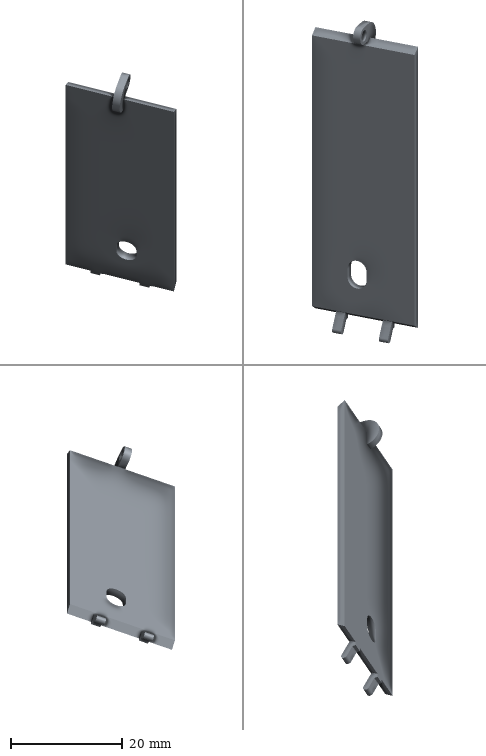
import cadquery as cq
import math

TOTAL_HEIGHT = 61.6

PLATE_WIDTH = 20.4
PLATE_THICKNESS = 1.5
PLATE_BOTTOM = 2.95
PLATE_TOP = 58.55
END_SLOPE = math.radians(35)

SLOT_WIDTH = 3.75
SLOT_LENGTH = 5.5
SLOT_X = 1.25
SLOT_Z = 11.9

HOOK_WIDTH = 1.4
HOOK_RADIUS = 3.0
HOOK_CENTER_Y = 0.6
EYE_RADIUS = 1.65
EYE_HOLE_DIAMETER = 2.1
EYE_CENTER_Y = 2.65
HOOK_NECK_BACK = 1.1

TAB_WIDTH = 1.8
TAB_SPACING = 9.3
TAB_FOOT_Z = 2.2
TAB_TIP_RADIUS = 0.6
TAB_TIP_Y = 2.3
TAB_BEND_Z = 2.8
TAB_ROOT_Y = 1.1
TAB_SLANT = math.radians(30)


def extrude_across(profile, width):
    """Extrude a YZ profile symmetrically about X = 0."""
    return profile.extrude(width / 2, both=True)


def make_plate():
    end_drop = PLATE_THICKNESS * math.tan(END_SLOPE)
    profile = cq.Workplane("YZ").polyline([
        (0, PLATE_BOTTOM),
        (0, PLATE_TOP),
        (PLATE_THICKNESS, PLATE_TOP - end_drop),
        (PLATE_THICKNESS, PLATE_BOTTOM + end_drop),
    ]).close()
    slot = (
        cq.Workplane("XZ")
        .center(SLOT_X, SLOT_Z)
        .slot2D(SLOT_LENGTH, SLOT_WIDTH, 90)
        .extrude(-PLATE_THICKNESS)
    )
    return extrude_across(profile, PLATE_WIDTH).cut(slot)


def make_hook():
    hook_center_z = TOTAL_HEIGHT - HOOK_RADIUS
    eye_center_z = TOTAL_HEIGHT - EYE_RADIUS
    arc_end_z = hook_center_z - math.sqrt(HOOK_RADIUS**2 - HOOK_CENTER_Y**2)
    neck_z = PLATE_TOP - HOOK_NECK_BACK * math.tan(END_SLOPE)
    profile = (
        cq.Workplane("YZ")
        .moveTo(0, arc_end_z)
        .threePointArc(
            (HOOK_CENTER_Y - HOOK_RADIUS, hook_center_z),
            (HOOK_CENTER_Y, TOTAL_HEIGHT),
        )
        .lineTo(EYE_CENTER_Y, TOTAL_HEIGHT)
        .threePointArc(
            (EYE_CENTER_Y + EYE_RADIUS, eye_center_z),
            (EYE_CENTER_Y, eye_center_z - EYE_RADIUS),
        )
        .lineTo(HOOK_NECK_BACK, eye_center_z - EYE_RADIUS)
        .lineTo(HOOK_NECK_BACK, neck_z)
        .lineTo(0, PLATE_TOP)
        .close()
    )
    hole = (
        cq.Workplane("YZ")
        .center(EYE_CENTER_Y, eye_center_z)
        .circle(EYE_HOLE_DIAMETER / 2)
    )
    return extrude_across(profile, HOOK_WIDTH).cut(extrude_across(hole, HOOK_WIDTH))


def make_tab(x_center):
    tip_z = TAB_TIP_RADIUS
    side_y = TAB_TIP_RADIUS * math.cos(TAB_SLANT)
    side_z = TAB_TIP_RADIUS * math.sin(TAB_SLANT)
    front_tangent = (TAB_TIP_Y - side_y, tip_z - side_z)
    back_tangent = (TAB_TIP_Y + side_y, tip_z + side_z)
    tip_end = (TAB_TIP_Y + side_z, tip_z - side_y)
    foot_y = front_tangent[0] - (TAB_FOOT_Z - front_tangent[1]) * math.tan(TAB_SLANT)
    bend_y = back_tangent[0] - (TAB_BEND_Z - back_tangent[1]) * math.tan(TAB_SLANT)
    root_z = PLATE_BOTTOM + TAB_ROOT_Y * math.tan(END_SLOPE)
    profile = (
        cq.Workplane("YZ")
        .moveTo(0, PLATE_BOTTOM)
        .lineTo(0, TAB_FOOT_Z)
        .lineTo(foot_y, TAB_FOOT_Z)
        .lineTo(*front_tangent)
        .threePointArc(tip_end, back_tangent)
        .lineTo(bend_y, TAB_BEND_Z)
        .lineTo(TAB_ROOT_Y, root_z)
        .close()
    )
    return extrude_across(profile, TAB_WIDTH).translate((x_center, 0, 0))


result = make_plate().union(make_hook())
for side in (-1, 1):
    result = result.union(make_tab(side * TAB_SPACING / 2))